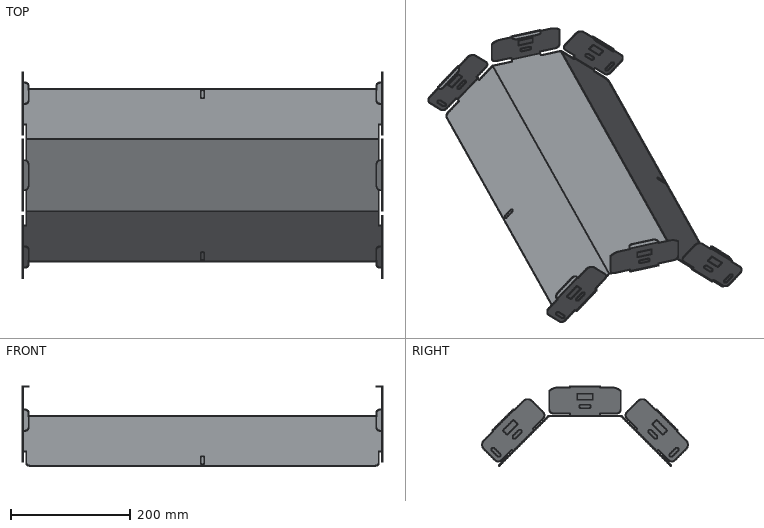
import cadquery as cq
import math


length = 605.0
sheet = 1.0
slope = 45.0
mid_width = 121.0
side_width = 118.5

end_gap = 6.0
tray_corner = 7.0

flap_top = 50.0
shoulder_height = 48.5
foot_height = 4.0
mid_flap_width = 120.5
side_flap_width = 114.5
foot_corner = 7.0
side_crown = 9.5
mid_crown = 24.0
mid_crown_run = 16.0

tab_width = 51.0
lip_depth = 10.0
lip_corner = 7.0

mark_depth = 0.3
window_length = 25.5
window_width = 10.0
window_height = 32.5
slot_length = 19.5
slot_width = 6.0
slot_height = 16.5
upright_slot_height = 20.0
edge_slot_inset = 13.0

half_length = length / 2
half_mid = mid_width / 2
tilt = math.radians(slope)
edge_slot_offset = side_width / 2 - edge_slot_inset


def make_tray():
    """Three panels as one bent sheet, with rounded free corners."""
    bend_shift = sheet * math.tan(tilt / 2)
    tip_y = half_mid + side_width * math.cos(tilt)
    tip_z = -side_width * math.sin(tilt)
    right_half = [
        (half_mid + bend_shift, sheet),
        (tip_y + sheet * math.sin(tilt), tip_z + sheet * math.cos(tilt)),
        (tip_y, tip_z),
        (half_mid, 0),
    ]
    left_half = [(-y, z) for y, z in reversed(right_half)]
    tray = (
        cq.Workplane("YZ")
        .polyline(right_half + left_half)
        .close()
        .extrude(half_length - end_gap, both=True)
    )
    free_corners = [
        cq.selectors.NearestToPointSelector((end * (half_length - end_gap), side * tip_y, tip_z))
        for end in (-1, 1)
        for side in (-1, 1)
    ]
    for corner in free_corners:
        tray = tray.edges(corner).fillet(tray_corner)
    return tray


def make_flap_plate(width, crown_radius, crown_run):
    """Upright plate at the +X end, centred on Y, with arcs at its top corners."""
    half = width / 2
    crown_drop = crown_radius - math.sqrt(crown_radius**2 - crown_run**2)
    side_top = shoulder_height - crown_drop
    side_foot = foot_height + foot_corner
    return (
        cq.Workplane("YZ", origin=(half_length - sheet, 0, 0))
        .moveTo(foot_corner - half, foot_height)
        .lineTo(half - foot_corner, foot_height)
        .radiusArc((half, side_foot), -foot_corner)
        .lineTo(half, side_top)
        .radiusArc((half - crown_run, shoulder_height), -crown_radius)
        .lineTo(crown_run - half, shoulder_height)
        .radiusArc((-half, side_top), -crown_radius)
        .lineTo(-half, side_foot)
        .radiusArc((foot_corner - half, foot_height), -foot_corner)
        .close()
        .extrude(sheet)
    )


def make_channel():
    """Tab, narrow upright and lip: one strip bent into a C at the +X end."""
    outer_x = half_length
    inner_x = half_length - sheet
    tray_x = half_length - end_gap - sheet
    lip_x = half_length - lip_depth
    strip = (
        cq.Workplane("XZ", origin=(0, tab_width / 2, 0))
        .polyline([
            (tray_x, 0), (outer_x, 0), (outer_x, flap_top), (lip_x, flap_top),
            (lip_x, flap_top - sheet), (inner_x, flap_top - sheet), (inner_x, sheet), (tray_x, sheet),
        ])
        .close()
        .extrude(tab_width)
    )
    inner_corners = cq.selectors.BoxSelector(
        (lip_x - sheet, -tab_width, flap_top - 2 * sheet), (lip_x + sheet, tab_width, flap_top + sheet)
    )
    return strip.edges("|Z").edges(inner_corners).fillet(lip_corner)


def make_flap(width, crown_radius, crown_run):
    """Complete +X flap of a panel centred on Y with its underside at Z = 0."""
    flap = make_flap_plate(width, crown_radius, crown_run).union(make_channel())
    for face_x in (half_length - mark_depth, half_length - sheet):
        face = cq.Workplane("YZ", origin=(face_x, 0, 0))
        window = face.center(0, window_height).rect(window_length, window_width).extrude(mark_depth)
        slot = face.center(0, slot_height).slot2D(slot_length, slot_width).extrude(mark_depth)
        flap = flap.cut(window).cut(slot)
    return flap


def add_upright_slots(flap):
    """Press the extra slot near the free edge into both faces of a side flap."""
    for face_x in (half_length - mark_depth, half_length - sheet):
        face = cq.Workplane("YZ", origin=(face_x, edge_slot_offset, upright_slot_height))
        flap = flap.cut(face.slot2D(slot_length, slot_width, 90).extrude(mark_depth))
    return flap


def place_on_side_panel(body):
    """Move a body from a level panel centred on Y onto the sloping +Y panel."""
    to_bend = body.translate((0, side_width / 2, 0))
    return to_bend.rotate((0, 0, 0), (1, 0, 0), -slope).translate((0, half_mid, 0))


mid_flap = make_flap(mid_flap_width, mid_crown, mid_crown_run)
side_flap = add_upright_slots(make_flap(side_flap_width, side_crown, side_crown))
side_flap = place_on_side_panel(side_flap)

panel_slot = (
    cq.Workplane("XY", origin=(0, edge_slot_offset, sheet - mark_depth))
    .slot2D(slot_length, slot_width, 90)
    .extrude(mark_depth)
)
panel_slot = place_on_side_panel(panel_slot)

end_flaps = mid_flap.union(side_flap).union(side_flap.mirror("XZ"))
result = make_tray().union(end_flaps).union(end_flaps.mirror("YZ"))
result = result.cut(panel_slot).cut(panel_slot.mirror("XZ"))